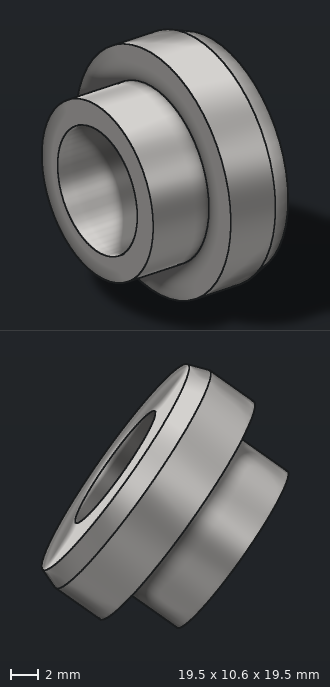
import cadquery as cq
import math

flange_diameter = 19.5
hub_diameter = 14.0
bore_diameter = 10.0
hub_length = 5.0
rim_length = 4.0
taper_length = 1.55
taper_angle = 20.0

flange_radius = flange_diameter / 2
hub_radius = hub_diameter / 2
bore_radius = bore_diameter / 2
back_radius = flange_radius - taper_length * math.tan(math.radians(taper_angle))
hub_end = -hub_length
back_end = rim_length + taper_length


def bushing():
    """Revolve the half section, bore included, about the Y axis."""
    half_section = (
        cq.Workplane("XY")
        .moveTo(bore_radius, hub_end)
        .lineTo(hub_radius, hub_end)
        .lineTo(hub_radius, 0)
        .lineTo(flange_radius, 0)
        .lineTo(flange_radius, rim_length)
        .lineTo(back_radius, back_end)
        .lineTo(bore_radius, back_end)
        .close()
    )
    return half_section.revolve(360, (0, 0, 0), (0, 1, 0))


result = bushing()